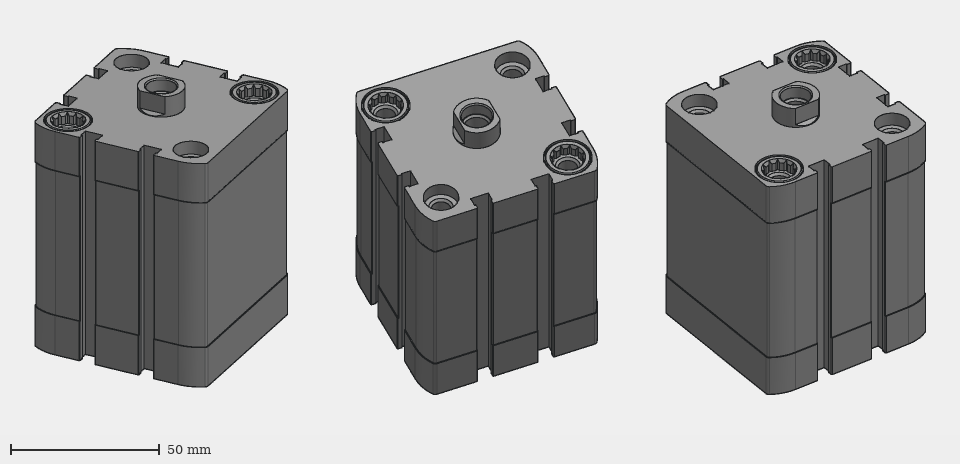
import cadquery as cq
import math

total_height = 92.7
cap_width = 65.5
rod_projection = 7.7
cap_height = 15.0
barrel_inset = 0.4
housing_height = total_height - rod_projection

screw_offset = 23.3
corner_arc_radius = 16.3
corner_fillet = 1.4

slot_offset = 11.1
slot_width = 6.5
slot_mouth_width = 5.6
slot_depth = 5.0
slot_lip_depth = 1.8
slot_lip_chamfer = 0.3

through_hole_diameter = 6.7
through_hole_mouth_diameter = 8.3
counterbore_diameter = 12.0
counterbore_depth = 4.9

head_recess_diameter = 16.4
head_diameter = 15.5
head_chamfer = 0.4
head_gap_depth = 0.9
socket_mouth_diameter = 12.0
socket_diameter = 10.5
socket_lead_in_depth = 1.3
socket_depth = 4.4
socket_groove_count = 12
socket_groove_diameter = 11.8
socket_groove_half_angle = 7.0

rod_diameter = 16.0
rod_across_flats = 13.0
flat_relief_angle = 30.0
flat_end_height = 1.1
rod_seat_depth = cap_height
rod_bore_diameter = 10.5
rod_bore_chamfer = 0.5
rod_bore_depth = 4.7
thread_mouth_diameter = 10.0
thread_hole_diameter = 8.5
thread_hole_depth = 15.0
drill_point_angle = 118.0


def cone(lower_diameter, upper_diameter, base_z, height):
    """Solid cone frustum on the Z axis."""
    return cq.Workplane("XY").add(
        cq.Solid.makeCone(lower_diameter / 2, upper_diameter / 2, height, cq.Vector(0, 0, base_z))
    )


def cylinder(diameter, base_z, height):
    """Solid cylinder on the Z axis."""
    return cq.Workplane("XY").workplane(offset=base_z).circle(diameter / 2).extrude(height)


def profile_block(inset, base_z, height):
    """Square block whose long corner arcs sweep from the Y faces to the X faces."""
    half = cap_width / 2 - inset
    arc_radius = corner_arc_radius - inset
    arc_center_y = half - arc_radius
    end_angle = math.acos((half - screw_offset) / arc_radius)
    mid_angle = (end_angle + math.pi / 2) / 2
    end_y = arc_center_y + arc_radius * math.sin(end_angle)
    mid_x = screw_offset + arc_radius * math.cos(mid_angle)
    mid_y = arc_center_y + arc_radius * math.sin(mid_angle)
    return (
        cq.Workplane("XY")
        .workplane(offset=base_z)
        .moveTo(-screw_offset, half)
        .lineTo(screw_offset, half)
        .threePointArc((mid_x, mid_y), (half, end_y))
        .lineTo(half, -end_y)
        .threePointArc((mid_x, -mid_y), (screw_offset, -half))
        .lineTo(-screw_offset, -half)
        .threePointArc((-mid_x, -mid_y), (-half, -end_y))
        .lineTo(-half, end_y)
        .threePointArc((-mid_x, mid_y), (-screw_offset, half))
        .close()
        .extrude(height)
        .edges("|Z")
        .edges("<X or >X")
        .fillet(corner_fillet - inset)
    )


def slot_cutter(inset, base_z, height):
    """T-shaped slot with a chamfered mouth, cut into the +Y face at X = 0."""
    outer = cap_width / 2
    face = outer - inset
    mouth_half = slot_mouth_width / 2
    flare_half = mouth_half + slot_lip_chamfer
    slot_half = slot_width / 2
    right_side = [
        (flare_half, outer),
        (flare_half, face),
        (mouth_half, face - slot_lip_chamfer),
        (mouth_half, outer - slot_lip_depth),
        (slot_half, outer - slot_lip_depth),
        (slot_half, outer - slot_depth),
    ]
    if inset == 0:
        right_side = right_side[1:]
    left_side = [(-x, y) for x, y in reversed(right_side)]
    outline = right_side + left_side
    return cq.Workplane("XY").workplane(offset=base_z).polyline(outline).close().extrude(height)


def housing_section(inset, base_z, height):
    """One length of the housing with slots in its -Y, +Y and -X faces."""
    section = profile_block(inset, base_z, height)
    for face_angle in (0, 90, 180):
        for side in (-1, 1):
            slot = slot_cutter(inset, base_z, height).translate((side * slot_offset, 0, 0))
            section = section.cut(slot.rotate((0, 0, 0), (0, 0, 1), face_angle))
    return section


def through_hole_cutter(floor_z):
    """Full-height hole with a 45 degree countersink that opens at floor_z."""
    mouth_depth = (through_hole_mouth_diameter - through_hole_diameter) / 2
    mouth = cone(through_hole_diameter, through_hole_mouth_diameter, floor_z - mouth_depth, mouth_depth)
    return cylinder(through_hole_diameter, 0, housing_height).union(mouth)


def counterbored_hole_cutter():
    """Plain counterbore above the through hole."""
    floor_z = housing_height - counterbore_depth
    counterbore = cylinder(counterbore_diameter, floor_z, counterbore_depth)
    return through_hole_cutter(floor_z).union(counterbore)


def grooved_socket(base_z, height):
    """Round socket with evenly spaced V-grooves in its wall."""
    wall_radius = socket_diameter / 2
    groove_half_angle = math.radians(socket_groove_half_angle)
    wall_x = wall_radius * math.cos(groove_half_angle)
    wall_y = wall_radius * math.sin(groove_half_angle)
    groove = (
        cq.Workplane("XY")
        .workplane(offset=base_z)
        .polyline([(0, 0), (wall_x, -wall_y), (socket_groove_diameter / 2, 0), (wall_x, wall_y)])
        .close()
        .extrude(height)
    )
    socket = cylinder(socket_diameter, base_z, height)
    for index in range(socket_groove_count):
        socket = socket.union(groove.rotate((0, 0, 0), (0, 0, 1), index * 360 / socket_groove_count))
    return socket


def screw_head_cutter():
    """Ring gap around a chamfered screw head, with a grooved socket above the through hole."""
    gap_floor_z = housing_height - head_gap_depth
    shoulder_height = head_gap_depth - head_chamfer
    head = cylinder(head_diameter, gap_floor_z, shoulder_height).union(
        cone(head_diameter, head_diameter - 2 * head_chamfer, housing_height - head_chamfer, head_chamfer)
    )
    gap = cylinder(head_recess_diameter, gap_floor_z, head_gap_depth).cut(head)

    socket_floor_z = housing_height - socket_depth
    socket = grooved_socket(socket_floor_z, socket_depth)
    lead_in = cone(
        socket_diameter, socket_mouth_diameter, housing_height - socket_lead_in_depth, socket_lead_in_depth
    )
    return through_hole_cutter(socket_floor_z).union(socket).union(lead_in).union(gap)


def build_housing():
    """Two end caps and the slightly narrower barrel between them, with all holes."""
    barrel_height = housing_height - 2 * cap_height
    housing = housing_section(0, 0, cap_height)
    housing = housing.union(housing_section(barrel_inset, cap_height, barrel_height))
    housing = housing.union(housing_section(0, housing_height - cap_height, cap_height))

    for side in (-1, 1):
        housing = housing.cut(screw_head_cutter().translate((side * screw_offset, side * screw_offset, 0)))
        housing = housing.cut(
            counterbored_hole_cutter().translate((side * screw_offset, -side * screw_offset, 0))
        )

    return housing.cut(cylinder(rod_diameter, housing_height - rod_seat_depth, rod_seat_depth))


def flat_cutter():
    """Wrench flat on the +Y side of the rod, with a sloped lower end."""
    flat_y = rod_across_flats / 2
    outer_y = rod_diameter / 2
    flat_end_z = housing_height + flat_end_height
    outer_z = flat_end_z - (outer_y - flat_y) * math.tan(math.radians(flat_relief_angle))
    return (
        cq.Workplane("YZ")
        .polyline([(flat_y, total_height), (flat_y, flat_end_z), (outer_y, outer_z), (outer_y, total_height)])
        .close()
        .extrude(rod_diameter / 2, both=True)
    )


def rod_hole_cutter():
    """Chamfered bore above a countersunk thread hole with a conical end."""
    bore_floor_z = total_height - rod_bore_depth
    thread_floor_z = total_height - thread_hole_depth
    taper_height = (thread_mouth_diameter - thread_hole_diameter) / 2
    taper_floor_z = bore_floor_z - taper_height
    point_height = thread_hole_diameter / 2 / math.tan(math.radians(drill_point_angle / 2))
    mouth_diameter = rod_bore_diameter + 2 * rod_bore_chamfer
    return (
        cone(0, thread_hole_diameter, thread_floor_z - point_height, point_height)
        .union(cylinder(thread_hole_diameter, thread_floor_z, taper_floor_z - thread_floor_z))
        .union(cone(thread_hole_diameter, thread_mouth_diameter, taper_floor_z, taper_height))
        .union(cylinder(rod_bore_diameter, bore_floor_z, rod_bore_depth))
        .union(cone(rod_bore_diameter, mouth_diameter, total_height - rod_bore_chamfer, rod_bore_chamfer))
    )


def build_rod():
    """Piston rod end with two wrench flats and a stepped threaded hole."""
    rod = cylinder(rod_diameter, housing_height - rod_seat_depth, rod_seat_depth + rod_projection)
    for angle in (0, 180):
        rod = rod.cut(flat_cutter().rotate((0, 0, 0), (0, 0, 1), angle))
    return rod.cut(rod_hole_cutter())


housing = build_housing()
piston_rod = build_rod()

result = cq.Compound.makeCompound([*housing.solids().vals(), *piston_rod.solids().vals()])